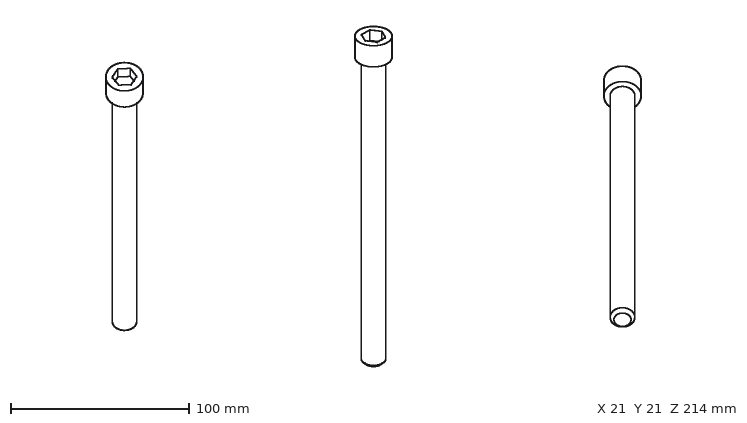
import cadquery as cq
import math

total_length = 214.0
head_diameter = 21.0
shank_diameter = 14.0
head_height = shank_diameter
shank_length = total_length - head_height

socket_across_flats = 12.0
socket_across_corners = socket_across_flats / math.cos(math.pi / 6)
socket_depth = head_height / 2

tip_chamfer = 2.1

def make_head():
    head = cq.Workplane("XY").circle(head_diameter / 2).extrude(head_height)
    return head.faces(">Z").workplane().polygon(6, socket_across_corners).cutBlind(-socket_depth)

def make_shank():
    shank = cq.Workplane("XY").circle(shank_diameter / 2).extrude(-shank_length)
    return shank.faces("<Z").chamfer(tip_chamfer)

result = make_head().union(make_shank())